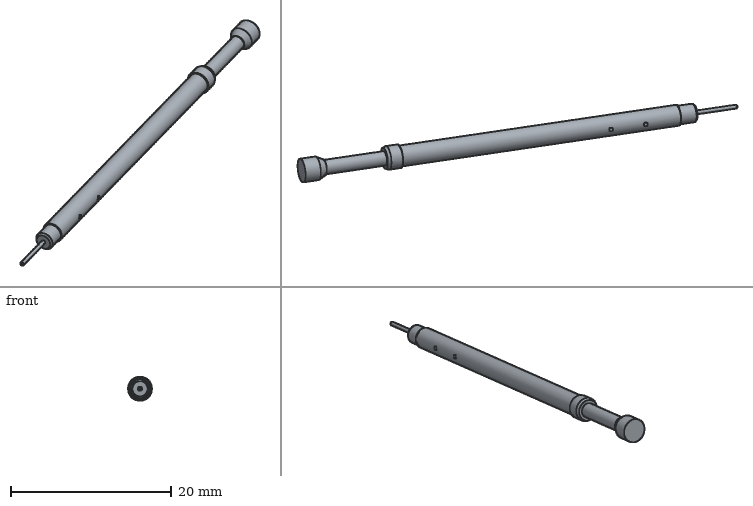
import cadquery as cq

TOTAL_LENGTH = 57.9
HEAD_DIAMETER = 3.0

HEAD_END = 2.0
NECK_START = 3.0
COLLAR_START = 11.0
COLLAR_END = 12.95
BODY_END = 49.95
SLEEVE_END = 52.3

HEAD_BASE_DIAMETER = 2.0
NECK_DIAMETER = 1.85
COLLAR_DIAMETER = HEAD_DIAMETER
BODY_DIAMETER = 2.65
SLEEVE_DIAMETER = 2.4
PIN_DIAMETER = 0.5

COLLAR_CHAMFER_LENGTH = 0.4
COLLAR_CHAMFER_DEPTH = 0.2
SLEEVE_CHAMFER = 0.25
PIN_CHAMFER = 0.2

DIMPLE_POSITIONS = (40.65, 45.3)
DIMPLE_DIAMETER = 0.5


def make_turned_body():
    """Revolve the stepped outline of the probe about the Y axis."""
    head_radius = HEAD_DIAMETER / 2
    head_base_radius = HEAD_BASE_DIAMETER / 2
    neck_radius = NECK_DIAMETER / 2
    collar_radius = COLLAR_DIAMETER / 2
    body_radius = BODY_DIAMETER / 2
    sleeve_radius = SLEEVE_DIAMETER / 2
    pin_radius = PIN_DIAMETER / 2

    stations = [
        (0, 0),
        (head_radius, 0),
        (head_radius, HEAD_END),
        (head_base_radius, NECK_START),
        (neck_radius, NECK_START),
        (neck_radius, COLLAR_START),
        (collar_radius - COLLAR_CHAMFER_DEPTH, COLLAR_START),
        (collar_radius, COLLAR_START + COLLAR_CHAMFER_LENGTH),
        (collar_radius, COLLAR_END),
        (body_radius, COLLAR_END),
        (body_radius, BODY_END),
        (sleeve_radius, BODY_END),
        (sleeve_radius, SLEEVE_END - SLEEVE_CHAMFER),
        (sleeve_radius - SLEEVE_CHAMFER, SLEEVE_END),
        (pin_radius, SLEEVE_END),
        (pin_radius, TOTAL_LENGTH - PIN_CHAMFER),
        (pin_radius - PIN_CHAMFER, TOTAL_LENGTH),
        (0, TOTAL_LENGTH),
    ]
    outline = [(radius, TOTAL_LENGTH / 2 - distance) for radius, distance in stations]
    return cq.Workplane("XY").polyline(outline).close().revolve(360, (0, 0, 0), (0, 1, 0))


def make_dimple(distance, side):
    """Ball cutter centred on the -X (side = -1) or +X (side = 1) skin of the body."""
    centre = (side * BODY_DIAMETER / 2, TOTAL_LENGTH / 2 - distance, 0)
    return cq.Workplane("XY", origin=centre).sphere(DIMPLE_DIAMETER / 2)


result = make_turned_body()
for distance in DIMPLE_POSITIONS:
    for side in (-1, 1):
        result = result.cut(make_dimple(distance, side))